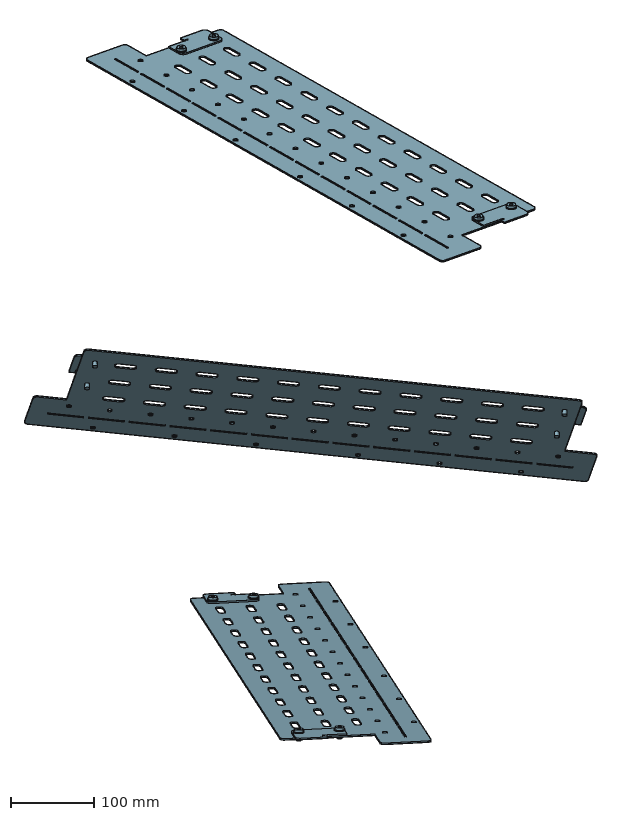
import cadquery as cq

foot_length = 691.5
plate_depth = 177.68
body_length = 611.0
foot_depth = 62.5
plate_thickness = 2.0
corner_radius = 5.0
front_edge = -plate_depth / 2
rear_edge = plate_depth / 2
shoulder_y = front_edge + foot_depth

pitch = 50.0
oblong_length = 27.0
oblong_width = 9.0
oblong_columns = 11
oblong_rows = 3
oblong_row_pitch = 37.5
oblong_middle_y = front_edge + 112.3
rear_hole_diameter = 6.0
rear_hole_count = 13
rear_hole_y = front_edge + 49.3
slit_length = 44.0
slit_width = 2.0
slit_count = 13
slit_y = front_edge + 28.0
front_hole_diameter = 6.0
front_hole_y = front_edge + 7.0
front_hole_offsets = (62.5, 162.5, 262.5)

clip_thickness = 2.0
clip_inner_x = 278.5
clip_outer_x = 314.0
clip_rear_y = front_edge + 160.5
clip_front_y = front_edge + 96.5
clip_corner_radius = 6.0
tab_front_y = front_edge + 121.5
relief_width = 1.5
relief_length = 5.0
clip_edge_setback = 0.5
clip_step_x = body_length / 2 - clip_edge_setback
clip_top = plate_thickness + clip_thickness

screw_x = 288.0
screw_pitch = 50.0
screw_middle_y = front_edge + 127.5
flange_diameter = 13.0
flange_height = 1.2
head_base_diameter = 12.0
head_top_diameter = 10.5
head_height = 4.0
socket_across_corners = 4.6
socket_depth = 2.0
shank_diameter = 6.0
shank_projection = 6.2


def make_plate():
    half_foot = foot_length / 2
    half_body = body_length / 2
    outline = [
        (-half_foot, front_edge),
        (half_foot, front_edge),
        (half_foot, shoulder_y),
        (half_body, shoulder_y),
        (half_body, rear_edge),
        (-half_body, rear_edge),
        (-half_body, shoulder_y),
        (-half_foot, shoulder_y),
    ]
    plate = cq.Workplane("XY").polyline(outline).close().extrude(plate_thickness)
    plate = plate.edges("|Z and (<X or >X)").fillet(corner_radius)
    return plate.faces(">Y").edges("|Z").fillet(corner_radius)


def cut_holes(plate):
    oblongs = (
        cq.Workplane("XY").center(0, oblong_middle_y)
        .rarray(pitch, oblong_row_pitch, oblong_columns, oblong_rows)
        .slot2D(oblong_length, oblong_width)
        .extrude(plate_thickness)
    )
    rear_holes = (
        cq.Workplane("XY").center(0, rear_hole_y)
        .rarray(pitch, 1, rear_hole_count, 1)
        .circle(rear_hole_diameter / 2)
        .extrude(plate_thickness)
    )
    slits = (
        cq.Workplane("XY").center(0, slit_y)
        .rarray(pitch, 1, slit_count, 1)
        .rect(slit_length, slit_width)
        .extrude(plate_thickness)
    )
    front_points = [(side * x, front_hole_y) for side in (-1, 1) for x in front_hole_offsets]
    front_holes = (
        cq.Workplane("XY").pushPoints(front_points)
        .circle(front_hole_diameter / 2)
        .extrude(plate_thickness)
    )
    return plate.cut(oblongs).cut(rear_holes).cut(slits).cut(front_holes)


def make_clip():
    """Clip at the +X end: a strip on the body with a tab that overhangs its edge."""
    relief_x = clip_step_x + relief_width
    relief_y = tab_front_y + relief_length
    outline = [
        (clip_inner_x, clip_front_y),
        (clip_step_x, clip_front_y),
        (clip_step_x, relief_y),
        (relief_x, relief_y),
        (relief_x, tab_front_y),
        (clip_outer_x, tab_front_y),
        (clip_outer_x, clip_rear_y),
        (clip_inner_x, clip_rear_y),
    ]
    clip = (
        cq.Workplane("XY", origin=(0, 0, plate_thickness))
        .polyline(outline).close()
        .extrude(clip_thickness)
    )
    return clip.edges("|Z and (>X or <X)").edges(">Y or <X").fillet(clip_corner_radius)


def make_screw(y):
    shank = (
        cq.Workplane("XY", origin=(screw_x, y, -shank_projection))
        .circle(shank_diameter / 2)
        .extrude(shank_projection + clip_top)
    )
    flange = (
        cq.Workplane("XY", origin=(screw_x, y, clip_top))
        .circle(flange_diameter / 2)
        .extrude(flange_height)
    )
    head = (
        flange.faces(">Z").workplane()
        .circle(head_base_diameter / 2)
        .workplane(offset=head_height - flange_height)
        .circle(head_top_diameter / 2)
        .loft()
    )
    socket = (
        cq.Workplane("XY", origin=(screw_x, y, clip_top + head_height - socket_depth))
        .polygon(6, socket_across_corners)
        .extrude(socket_depth)
    )
    return shank.union(head).cut(socket)


def make_end_fitting():
    """Clip and its two screws at the +X end."""
    fitting = make_clip()
    for side in (-1, 1):
        fitting = fitting.union(make_screw(screw_middle_y + side * screw_pitch / 2))
    return fitting


perforated_plate = cut_holes(make_plate())
end_fitting = make_end_fitting()
result = perforated_plate.union(end_fitting).union(end_fitting.mirror("YZ"))